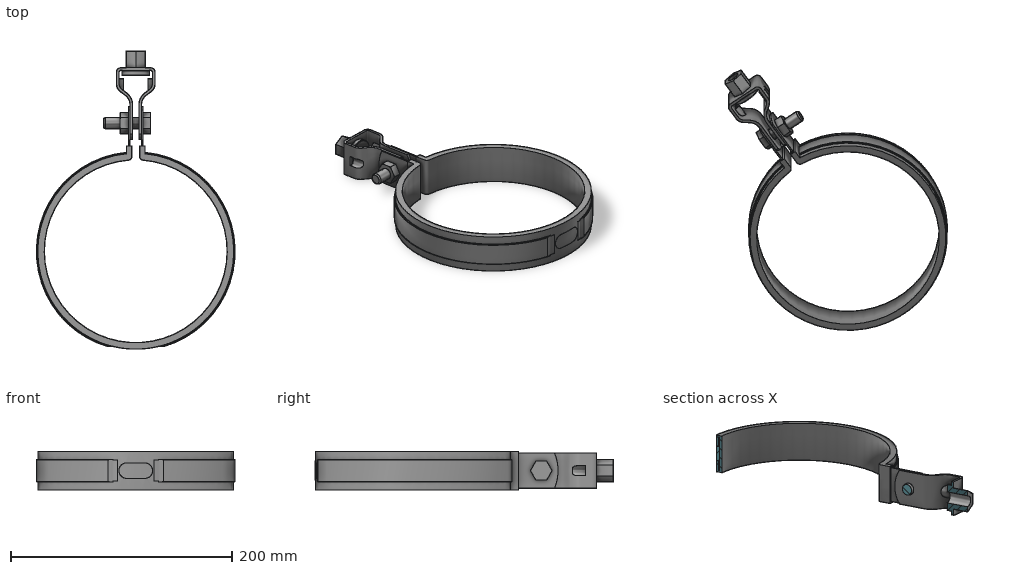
import cadquery as cq
import math

ring_inner_radius = 82.5
ring_thickness = 6.0
ring_outer_radius = ring_inner_radius + ring_thickness
ring_width = 35.0
lug_center_x = 6.0
lug_thickness = 5.0
lug_top_y = 95.3
lug_inner_corner_radius = 3.5
lug_inner_x = lug_center_x - lug_thickness / 2
lug_outer_x = lug_center_x + lug_thickness / 2

strap_thickness = 1.5
strap_width = 32.0
strap_inner_radius = ring_inner_radius + (ring_thickness - strap_thickness) / 2
strap_outer_radius = strap_inner_radius + strap_thickness
ear_inner_x = lug_center_x - strap_thickness / 2
ear_outer_x = lug_center_x + strap_thickness / 2
ear_tip_y = 131.0
ear_tip_radius = 41.0

bead_radius = 89.83
bead_width = 20.5
bead_edge_chamfer = 0.6
bead_end_x = 25.3
bead_foot_x = 20.6
pad_end_x = 16.4
pad_width = 19.0
boss_length = 30.4
boss_width = 14.0

sheet = 2.5
bracket_width = strap_width
bracket_half_span = 17.5
bracket_top_y = 165.9
bracket_end_y = 101.0
leg_outer_x = ear_inner_x
shoulder_y = 146.9
neck_y = 137.8
top_corner_radius = 4.0
shoulder_radius = 9.0
neck_radius = 11.0
leg_end_radius = 28.6
dimple_top_y = 156.0
dimple_groove_radius = 4.5
dimple_wall = 2.0
dimple_end_y = 143.9

bolt_y = 115.8
bolt_diameter = 10.25
bolt_tip_diameter = 8.38
bolt_tip_x = -29.0
bolt_tip_length = 1.6
bolt_hole_diameter = 11.0
hex_across_flats = 17.0
hex_across_corners = hex_across_flats / math.cos(math.pi / 6)
head_height = 6.7
nut_height = 7.4
nut_chamfer = 0.6

connector_end_y = 180.87
connector_across_flats = 17.5
connector_flange_diameter = 25.0
connector_flange_thickness = 4.6
connector_flange_chamfer = 0.5
connector_bore_diameter = 10.0


def bar(x0, x1, y0, y1, height):
    """Rectangular block centred on Z = 0."""
    return cq.Workplane().box(x1 - x0, y1 - y0, height).translate(((x0 + x1) / 2, (y0 + y1) / 2, 0))


def centred_plane(height):
    """Sketch plane from which an extrusion of this height ends up centred on Z = 0."""
    return cq.Workplane(origin=(0, 0, -height / 2))


def cylinder(radius, height):
    """Cylinder along Z, centred on Z = 0."""
    return centred_plane(height).circle(radius).extrude(height)


def both_sides(solid):
    """A shape joined with its mirror image across X = 0."""
    return solid.union(solid.mirror("YZ"))


def x_cylinder(diameter, x0, x1):
    """Cylinder on the bolt axis."""
    return cq.Workplane("YZ", origin=(x0, bolt_y, 0)).circle(diameter / 2).extrude(x1 - x0)


def x_hexagon(x0, x1):
    """Hexagonal prism on the bolt axis with flats facing +-Z."""
    return cq.Workplane("YZ", origin=(x0, bolt_y, 0)).polygon(6, hex_across_corners).extrude(x1 - x0)


def y_workplane(y):
    """Workplane facing +Y on the connector axis."""
    return cq.Workplane("XZ", origin=(0, y, 0))


def sector(half_span_x, radius, height):
    """Wedge from the ring axis towards -Y, reaching X = +-half_span_x at the given radius."""
    edge_y = -math.sqrt(radius ** 2 - half_span_x ** 2)
    reach = 2 * ring_outer_radius / radius
    corner = (half_span_x * reach, edge_y * reach)
    return (
        centred_plane(height)
        .polyline([(0, 0), corner, (-corner[0], corner[1])])
        .close()
        .extrude(height)
    )


def slit(half_width, height):
    """Clearance across the open end of the ring, on the +Y side."""
    return bar(-half_width, half_width, 0, 2 * ring_outer_radius, height)


def make_bead():
    """Raised bead of the strap, open at the lugs and at the bottom, with ramped lower ends."""
    bead = cylinder(bead_radius, bead_width).edges().chamfer(bead_edge_chamfer)
    top_y = -math.sqrt(bead_radius ** 2 - bead_end_x ** 2)
    foot_y = -math.sqrt(ring_outer_radius ** 2 - bead_foot_x ** 2)
    right = [(bead_foot_x, foot_y), (bead_end_x, top_y), (bead_end_x, -2 * ring_outer_radius)]
    left = [(-x, y) for x, y in reversed(right)]
    gap = centred_plane(ring_width).polyline([(0, 0)] + right + left).close().extrude(ring_width)
    return bead.cut(gap).cut(slit(lug_outer_x, ring_width))


def make_bead_end_pads():
    """Flush strap surface just beyond each lower end of the bead."""
    pads = cylinder(ring_outer_radius, pad_width)
    pads = pads.intersect(sector(bead_end_x, bead_radius, ring_width))
    return pads.cut(sector(pad_end_x, ring_outer_radius, ring_width))


def make_bottom_boss():
    """Slot-shaped boss of the strap, flush with the lining at the bottom of the ring."""
    slot = cq.Workplane("XZ").slot2D(boss_length, boss_width).extrude(2 * ring_outer_radius)
    return cylinder(ring_outer_radius, ring_width).intersect(slot)


def make_ear():
    """Flat ear of the strap on the +X side, with a wide arc as its tip."""
    ear = bar(ear_inner_x, ear_outer_x, strap_inner_radius, ear_tip_y, strap_width)
    tip_plane = cq.Workplane("YZ", origin=(0, ear_tip_y - ear_tip_radius, 0))
    return ear.intersect(tip_plane.circle(ear_tip_radius).extrude(ear_outer_x))


def make_strap():
    """Sheet hoop with two drilled ears, a raised bead, bead end pads and a bottom boss."""
    hoop = cylinder(strap_outer_radius, strap_width)
    hoop = hoop.cut(slit(ear_inner_x, ring_width))
    strap = hoop.union(make_bead()).union(make_bead_end_pads()).union(make_bottom_boss())
    strap = strap.union(both_sides(make_ear())).cut(cylinder(strap_inner_radius, ring_width))
    return strap.cut(x_cylinder(bolt_hole_diameter, -bracket_half_span, bracket_half_span))


def make_lining(strap):
    """Lining around the strap; the strap's own shape forms the recess it sits in."""
    lug = bar(lug_inner_x, lug_outer_x, strap_inner_radius, lug_top_y, ring_width)
    lining = cylinder(ring_outer_radius, ring_width).union(both_sides(lug))
    lining = lining.cut(cylinder(ring_inner_radius, ring_width)).cut(slit(lug_inner_x, ring_width))
    corner_y = math.sqrt(ring_inner_radius ** 2 - lug_inner_x ** 2)
    for x in (-lug_inner_x, lug_inner_x):
        corner = cq.selectors.NearestToPointSelector((x, corner_y, 0))
        lining = lining.edges(corner).fillet(lug_inner_corner_radius)
    return lining.cut(strap)


def make_bracket_blank():
    """Solid prism bounded by the outer faces of the bracket."""
    start_y = bracket_end_y - sheet
    right = [
        (leg_outer_x, start_y),
        (leg_outer_x, neck_y),
        (bracket_half_span, shoulder_y),
        (bracket_half_span, bracket_top_y),
    ]
    left = [(-x, y) for x, y in reversed(right)]
    blank = centred_plane(bracket_width).polyline(right + left).close().extrude(bracket_width)
    for (x, y), radius in zip(right[1:], (neck_radius, shoulder_radius, top_corner_radius)):
        for side in (-1, 1):
            bend = cq.selectors.NearestToPointSelector((side * x, y, 0))
            blank = blank.edges(bend).fillet(radius)
    return blank


def leg_end_envelope():
    """Block around the bracket whose -Y end is rounded like the leg ends."""
    half_width = bracket_width / 2
    corner_y = bracket_end_y + leg_end_radius - math.sqrt(leg_end_radius ** 2 - half_width ** 2)
    return (
        cq.Workplane("YZ", origin=(-bracket_half_span, 0, 0))
        .moveTo(bracket_top_y, -half_width)
        .lineTo(corner_y, -half_width)
        .threePointArc((bracket_end_y, 0), (corner_y, half_width))
        .lineTo(bracket_top_y, half_width)
        .close()
        .extrude(2 * bracket_half_span)
    )


def dimples(radius):
    """Cylinders along Y on the outer side faces, running down into the sloped shoulders."""
    plane = cq.Workplane("XZ", origin=(bracket_half_span, dimple_top_y, 0))
    return both_sides(plane.circle(radius).extrude(dimple_top_y - dimple_end_y))


def make_connector():
    """Hexagonal head above the bracket top and a round flange below it, joined through the top."""
    bracket_ceiling_y = bracket_top_y - sheet
    corners = connector_across_flats / math.cos(math.pi / 6)
    hexagon = (
        y_workplane(connector_end_y)
        .polygon(6, corners)
        .extrude(connector_end_y - bracket_ceiling_y)
        .rotate((0, 0, 0), (0, 1, 0), 30)
    )
    flange = (
        y_workplane(bracket_ceiling_y)
        .circle(connector_flange_diameter / 2)
        .extrude(connector_flange_thickness)
        .edges()
        .chamfer(connector_flange_chamfer)
    )
    return hexagon.union(flange)


def make_bracket():
    """Omega-shaped sheet bracket with drilled legs, pressed-in side dimples and the connector."""
    blank = make_bracket_blank()
    inside = blank.faces("<Z").wires().toPending().offset2D(-sheet).extrude(bracket_width, combine=False)
    bumps = dimples(dimple_groove_radius + dimple_wall).intersect(blank)
    bracket = blank.cut(inside).union(bumps).cut(dimples(dimple_groove_radius))
    bracket = bracket.intersect(leg_end_envelope())
    bracket = bracket.cut(x_cylinder(bolt_hole_diameter, -leg_outer_x, leg_outer_x))
    bore = y_workplane(connector_end_y).circle(connector_bore_diameter / 2)
    bore = bore.extrude(connector_end_y - dimple_top_y)
    return bracket.union(make_connector()).cut(bore)


def make_fastener():
    """Bolt with its head on the +X ear and its nut on the -X ear."""
    shank = x_cylinder(bolt_diameter, bolt_tip_x, ear_outer_x)
    shank = shank.faces("<X").chamfer(bolt_tip_length, (bolt_diameter - bolt_tip_diameter) / 2)
    head = x_hexagon(ear_outer_x, ear_outer_x + head_height)
    nut_end_x = -ear_outer_x - nut_height
    nut = x_hexagon(nut_end_x, -ear_outer_x)
    turned = x_cylinder(hex_across_corners, nut_end_x, -ear_outer_x).faces("<X").chamfer(nut_chamfer)
    return shank.union(head).union(nut.intersect(turned))


strap = make_strap()
lining = make_lining(strap)
bracket = make_bracket()
fastener = make_fastener()
result = cq.Compound.makeCompound([strap.val(), lining.val(), bracket.val(), fastener.val()])